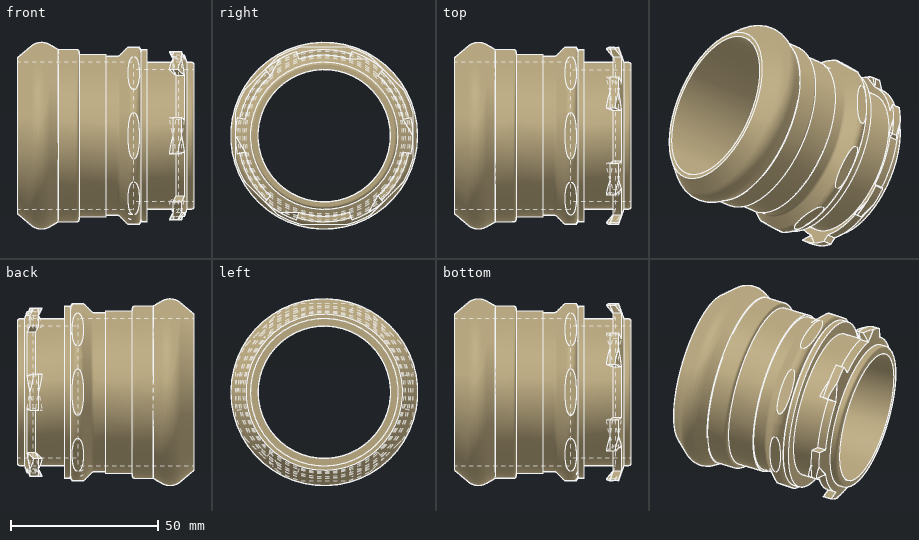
import cadquery as cq
import math


dome_crest_x = 8.2
rim_end = 21.0
barrel_end = 30.1
head_center_x = 39.5
shoulder_start = 42.05
shoulder_end = 44.0
total_length = 60.0

conduit_bore_diameter = 50.1
throat_diameter = 44.8
face_diameter = 53.0
rim_diameter = 58.6
barrel_diameter = 55.3
relief_diameter = 54.1
shoulder_diameter = 58.5
spigot_diameter = 50.0

end_round = 0.95

dome_radius = 31.75
dome_round = 5.4
dome_front_angle = math.radians(40)
dome_rear_angle = math.radians(30)
dome_root_fillet = 0.45

head_round = 2.4
head_crest_radius = 31.1
head_cone_angle = math.radians(45)
head_root_fillet = 0.9
flat_count = 8
flat_distance = 30.1

bore_stop_x = head_center_x

lobe_count = 6
lobe_radius = 30.1
notch_radius = 27.4
lobe_half_angle = 11.75
lobe_rim_start = 52.85
dish_slope = 0.36
dish_thickness = 2.9

tooth_bend = 1.3
plate_overshoot = 2.0


def revolve(outline):
    """Turn a closed (x, radius) outline about the X axis."""
    return outline.close().revolve(360, (0, 0, 0), (1, 0, 0))


def cylinder(start, end, diameter):
    """Solid cylinder on the X axis."""
    return cq.Workplane("YZ", origin=(start, 0, 0)).circle(diameter / 2).extrude(end - start)


def round_point(center_x, center_r, radius, angle):
    """Point of a round, at an angle from its crest that is positive toward +X."""
    return (center_x + radius * math.sin(angle), center_r + radius * math.cos(angle))


def fillet_circle(body, x, diameter, radius):
    """Fillet the circular edge at a station and diameter."""
    margin = 0.03
    reach = diameter / 2 + margin
    box = cq.selectors.BoxSelector((x - margin, -reach, -reach), (x + margin, reach, reach), boundingbox=True)
    return body.edges(box).fillet(radius)


def polar(radius, angle):
    """(y, z) at an angle in degrees from -Y, positive toward +Z."""
    turn = math.radians(angle)
    return (-radius * math.cos(turn), radius * math.sin(turn))


def dish_x(radius):
    """Station of the head-side face of the dished flange at a radius."""
    return lobe_rim_start + dish_slope * (lobe_radius - radius)


def around_axis(solid, index):
    """Copy of a lobe feature turned to the position of the lobe with this index."""
    return solid.rotate((0, 0, 0), (1, 0, 0), index * 360 / lobe_count)



def make_dome():
    """Dome and the plain rim behind it."""
    center_r = dome_radius - dome_round
    front_tangent = round_point(dome_crest_x, center_r, dome_round, -dome_front_angle)
    rear_tangent = round_point(dome_crest_x, center_r, dome_round, dome_rear_angle)
    rim_radius = rim_diameter / 2
    rim_start = rear_tangent[0] + (rear_tangent[1] - rim_radius) / math.tan(dome_rear_angle)
    dome = revolve(
        cq.Workplane("XY")
        .moveTo(0, 0)
        .lineTo(0, face_diameter / 2)
        .lineTo(*front_tangent)
        .threePointArc((dome_crest_x, dome_radius), rear_tangent)
        .lineTo(rim_start, rim_radius)
        .lineTo(rim_end, rim_radius)
        .lineTo(rim_end, 0)
    )
    dome = fillet_circle(dome, rim_start, rim_diameter, dome_root_fillet)
    return fillet_circle(dome, rim_end, rim_diameter, end_round)


def make_head():
    """Relief, cone and round-edged collar, trimmed by the spanner flats."""
    center_r = head_crest_radius - head_round
    cone_tangent = round_point(head_center_x, center_r, head_round, -head_cone_angle)
    relief_radius = relief_diameter / 2
    cone_start = cone_tangent[0] - (cone_tangent[1] - relief_radius) / math.tan(head_cone_angle)
    head = revolve(
        cq.Workplane("XY")
        .moveTo(barrel_end, 0)
        .lineTo(barrel_end, relief_radius)
        .lineTo(cone_start, relief_radius)
        .lineTo(*cone_tangent)
        .threePointArc((head_center_x, head_crest_radius), (head_center_x + head_round, center_r))
        .lineTo(shoulder_start, center_r)
        .lineTo(shoulder_start, 0)
    )
    head = fillet_circle(head, cone_start, relief_diameter, head_root_fillet)
    flats = cq.Workplane("YZ").polygon(flat_count, 2 * flat_distance, circumscribed=True).extrude(total_length)
    return head.intersect(flats)


def make_spigot():
    spigot = cylinder(shoulder_end, total_length, spigot_diameter)
    return fillet_circle(spigot, total_length, spigot_diameter, end_round)



def make_dish(outer_radius):
    inner_radius = throat_diameter / 2
    inner_x = dish_x(inner_radius)
    outer_x = dish_x(outer_radius)
    return revolve(
        cq.Workplane("XY")
        .moveTo(inner_x, inner_radius)
        .lineTo(outer_x, outer_radius)
        .lineTo(outer_x + dish_thickness, outer_radius)
        .lineTo(inner_x + dish_thickness, inner_radius)
    )


def make_lobe_blank():
    """Sector of the full dish that holds one lobe, before its corner is bent."""
    reach = 2 * lobe_radius
    sector = (
        cq.Workplane("YZ")
        .polyline([(0, 0), polar(reach, lobe_half_angle), polar(reach, -lobe_half_angle)])
        .close()
        .extrude(total_length)
    )
    return make_dish(lobe_radius).intersect(sector)


def make_corner_column():
    """Column along X over the lobe corner beyond the bend line."""
    return (
        cq.Workplane("YZ")
        .moveTo(*polar(notch_radius, -lobe_half_angle))
        .lineTo(*polar(lobe_radius, 0))
        .threePointArc(polar(lobe_radius, -lobe_half_angle / 2), polar(lobe_radius, -lobe_half_angle))
        .close()
        .extrude(total_length)
    )


def make_bent_plate():
    """Oblique plate through the bend line and the bent corner, larger than the corner itself."""
    bend_outer = cq.Vector(dish_x(lobe_radius), *polar(lobe_radius, 0))
    bend_root = cq.Vector(dish_x(notch_radius), *polar(notch_radius, -lobe_half_angle))
    corner = cq.Vector(dish_x(lobe_radius) - tooth_bend, *polar(lobe_radius, -lobe_half_angle))
    corners = [bend_outer, bend_root, corner]
    middle = (bend_outer + bend_root + corner) * (1 / len(corners))
    outline = [middle + (point - middle) * plate_overshoot for point in corners]
    wire = cq.Wire.makePolygon(outline, close=True)
    return cq.Workplane(cq.Solid.extrudeLinear(wire, [], cq.Vector(dish_thickness, 0, 0)))


def make_lobe():
    """Lobe whose far face is cut back to the bent plate at one corner."""
    return make_lobe_blank().cut(make_corner_column().cut(make_bent_plate()))


def make_tooth():
    """Wedge of the bent corner that stands out of the head-side face of its lobe."""
    return make_bent_plate().intersect(make_corner_column()).cut(make_dish(lobe_radius))


def make_housing():
    barrel = cylinder(rim_end, barrel_end, barrel_diameter)
    shoulder = cylinder(shoulder_start, shoulder_end, shoulder_diameter)
    housing = make_dome().union(barrel).union(make_head()).union(shoulder).union(make_spigot())
    housing = housing.union(make_dish(notch_radius))
    lobe = make_lobe()
    for index in range(lobe_count):
        housing = housing.union(around_axis(lobe, index))
    housing = housing.cut(cylinder(0, bore_stop_x, conduit_bore_diameter))
    return housing.cut(cylinder(0, total_length, throat_diameter))


housing = make_housing()
tooth = make_tooth()
teeth = [around_axis(tooth, index).solids().val() for index in range(lobe_count)]

result = cq.Compound.makeCompound([housing.solids().val(), *teeth])